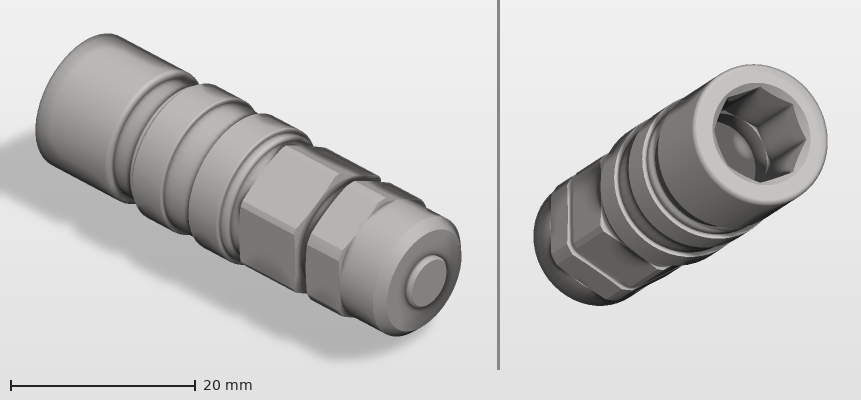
import cadquery as cq
import math

TOTAL_LENGTH = 50.75

COLLAR_DIAMETER = 15.8
NECK_DIAMETER = 14.0
SLEEVE_DIAMETER = 15.1
BAND_DIAMETER = 16.15
HEX_NECK_DIAMETER = 12.1
END_CAP_DIAMETER = 14.15
STUB_DIAMETER = 6.05

COLLAR_END = 10.9
SLEEVE_START = 13.55
SLEEVE_END = 28.0
FIRST_BAND_START = 14.6
SECOND_BAND_START = 22.85
BAND_WIDTH = 4.15
LONG_HEX_START = 29.3
LONG_HEX_END = 37.5
SHORT_HEX_START = 39.0
SHORT_HEX_END = 44.05
END_CAP_END = 50.0

COLLAR_ROUND = 0.5
SLEEVE_ROUND = 0.45
BAND_ROUND = 0.2
END_CAP_CHAMFER = 1.05
STUB_CHAMFER = 0.25

HEX_FLATS = NECK_DIAMETER
LONG_HEX_CORNERS = 15.8
SHORT_HEX_CORNERS = 15.5
HEX_CHAMFER_LENGTH = 0.2

SOCKET_FLATS = 9.95
SOCKET_DEPTH = 10.9
BORE_DEPTH = 14.2
MOUTH_DIAMETER = 11.4
MOUTH_CONE_DEPTH = (MOUTH_DIAMETER - SOCKET_FLATS) / 2


def cylinder(diameter, start, end):
    """Round section about the X axis from start to end."""
    return cq.Workplane("YZ", origin=(start, 0, 0)).circle(diameter / 2).extrude(end - start)


def polygon_prism(sides, across_flats, start, end):
    """Regular prism about the X axis with a corner on +Z."""
    across_corners = across_flats / math.cos(math.pi / sides)
    return (
        cq.Workplane("YZ", origin=(start, 0, 0))
        .transformed(rotate=(0, 0, 90))
        .polygon(sides, across_corners)
        .extrude(end - start)
    )


def wrench_hex(across_corners, start, end):
    """Hexagon with turned corners, tapering at each end to the circle that touches its flats."""
    flat_radius = HEX_FLATS / 2
    corner_radius = across_corners / 2
    turned_blank = (
        cq.Workplane("XY")
        .moveTo(start, 0)
        .lineTo(start, flat_radius)
        .lineTo(start + HEX_CHAMFER_LENGTH, corner_radius)
        .lineTo(end - HEX_CHAMFER_LENGTH, corner_radius)
        .lineTo(end, flat_radius)
        .lineTo(end, 0)
        .close()
        .revolve(360, (0, 0, 0), (1, 0, 0))
    )
    return polygon_prism(6, HEX_FLATS, start, end).intersect(turned_blank)


def grip_band(start):
    """Raised band on the sleeve, rounded on its +X edge."""
    band = cylinder(BAND_DIAMETER, start, start + BAND_WIDTH)
    return band.faces(">X").edges().fillet(BAND_ROUND)


def socket():
    """Cutting body for the conical mouth, octagon and round bore."""
    mouth = (
        cq.Workplane("XY")
        .lineTo(0, MOUTH_DIAMETER / 2)
        .lineTo(MOUTH_CONE_DEPTH, SOCKET_FLATS / 2)
        .lineTo(MOUTH_CONE_DEPTH, 0)
        .close()
        .revolve(360, (0, 0, 0), (1, 0, 0))
    )
    octagon = polygon_prism(8, SOCKET_FLATS, 0, SOCKET_DEPTH)
    bore = cylinder(SOCKET_FLATS, 0, BORE_DEPTH)
    return octagon.union(bore).union(mouth)


collar = cylinder(COLLAR_DIAMETER, 0, COLLAR_END).edges().fillet(COLLAR_ROUND)
neck = cylinder(NECK_DIAMETER, COLLAR_ROUND, LONG_HEX_START)
sleeve = cylinder(SLEEVE_DIAMETER, SLEEVE_START, SLEEVE_END).edges().fillet(SLEEVE_ROUND)
body = collar.union(neck).union(sleeve)
for band_start in (FIRST_BAND_START, SECOND_BAND_START):
    body = body.union(grip_band(band_start))

body = body.union(wrench_hex(LONG_HEX_CORNERS, LONG_HEX_START, LONG_HEX_END))
body = body.union(cylinder(HEX_NECK_DIAMETER, LONG_HEX_END, SHORT_HEX_START))
body = body.union(wrench_hex(SHORT_HEX_CORNERS, SHORT_HEX_START, SHORT_HEX_END))

end_cap = cylinder(END_CAP_DIAMETER, SHORT_HEX_END, END_CAP_END)
body = body.union(end_cap.faces(">X").edges().chamfer(END_CAP_CHAMFER))
stub = cylinder(STUB_DIAMETER, END_CAP_END, TOTAL_LENGTH)
body = body.union(stub.faces(">X").edges().chamfer(STUB_CHAMFER))

result = body.cut(socket())